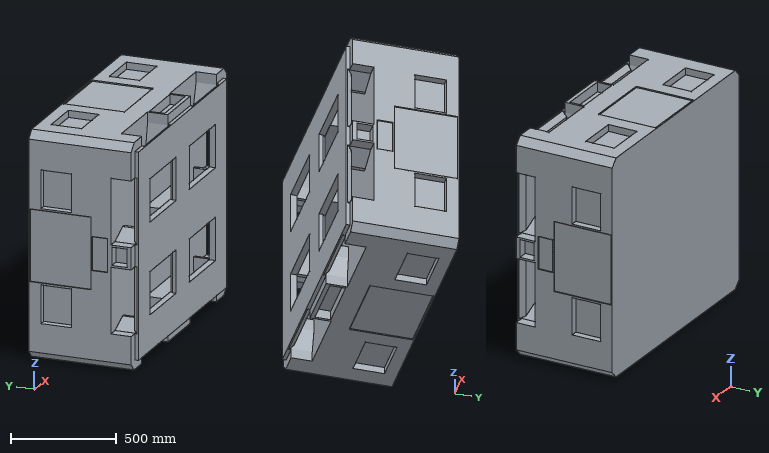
import cadquery as cq

width = 1219.2
height = 1143.0
depth = 543.03
half_width = width / 2
half_height = height / 2
corner_chamfer = 38.1

plate_inset = 47.625
plate_thickness = 32.3
plate_step = 19.05
plate_lead_in = 25.4
plate_half_width = half_width - plate_inset
plate_half_height = half_height - plate_inset

window_width = 330.2
window_height = 217.5
window_center_x = 250.0
window_center_z = 233.2
window_chamfer = 12.7

fork_ceiling = 122.9
top_leg_half = 142.9
top_opening_end = 474.6
side_leg_half = 55.9
side_opening_end = 391.0

top_straight = 54.0
top_flare_end = 155.0
side_straight = 53.0
side_flare_end = 151.0
top_leg_wide_half = 162.0
side_leg_wide_half = 99.6
corner_inner_x = 444.4
corner_inner_z = 349.5
top_leg_inner_z = 348.5
side_leg_inner_x = 439.6
center_leg_half_x = 167.6
center_leg_half_z = 104.4

hand_pocket_y = depth - 141.0
hand_pocket_size_y = 155.4
hand_pocket_depth = 36.0
top_hand_pocket_size = 218.5
top_hand_pocket_center = 369.1
side_hand_pocket_size = 194.2
side_hand_pocket_center = 289.0
label_y = depth - 163.0
label_size_y = 310.8
label_size = 364.2
shallow_depth = 6.35
tag_y = depth - 364.3
tag_size_y = 77.7
tag_size = 170.0
leg_pocket_y = 79.0
leg_pocket_size_y = 77.7
leg_pocket_depth = 50.8
top_leg_pocket_size = 262.0
side_leg_pocket_size = 92.3


def prism(points, y_start, y_end):
    """Extrude an X-Z outline from y_start to y_end."""
    return cq.Workplane("XZ", origin=(0, y_start, 0)).polyline(points).close().extrude(y_start - y_end)


def block(size_x, size_z, y_start, y_end, x=0.0, z=0.0):
    """Box centred on (x, z), reaching from y_start to y_end."""
    return cq.Workplane("XY").box(size_x, y_end - y_start, size_z).translate((x, (y_start + y_end) / 2, z))


def mirrored_x(shape):
    return shape.union(shape.mirror("YZ"))


def mirrored_z(shape):
    return shape.union(shape.mirror("XY"))


def make_plate():
    plate = block(2 * plate_half_width, 2 * plate_half_height, 0, plate_thickness)
    lead_in_y = plate_thickness - plate_lead_in
    top_wedge = (
        cq.Workplane("YZ", origin=(top_leg_half, 0, 0))
        .moveTo(plate_thickness, plate_half_height - plate_lead_in)
        .lineTo(plate_thickness, plate_half_height)
        .lineTo(lead_in_y, plate_half_height)
        .close()
        .extrude(top_opening_end - top_leg_half)
    )
    side_wedge = (
        cq.Workplane("XY", origin=(0, 0, side_leg_half))
        .moveTo(plate_half_width - plate_lead_in, plate_thickness)
        .lineTo(plate_half_width, plate_thickness)
        .lineTo(plate_half_width, lead_in_y)
        .close()
        .extrude(side_opening_end - side_leg_half)
    )
    for wedge in (top_wedge, side_wedge):
        plate = plate.cut(mirrored_z(mirrored_x(wedge)))
    return plate.cut(mirrored_z(mirrored_x(make_window())))


def make_window():
    """Window in the +X +Z quarter, its chamfer widening toward the plate centre."""
    inner_x = window_center_x - window_width / 2
    outer_x = inner_x + window_width
    return (
        cq.Workplane("XY", origin=(0, 0, window_center_z - window_height / 2))
        .moveTo(inner_x, 0)
        .lineTo(outer_x, 0)
        .lineTo(outer_x, plate_thickness)
        .lineTo(inner_x - window_chamfer, plate_thickness)
        .lineTo(inner_x, plate_thickness - window_chamfer)
        .close()
        .extrude(window_height)
    )


def make_legs():
    top_straight_z = half_height - top_straight
    top_flare_z = half_height - top_flare_end
    side_straight_x = half_width - side_straight
    side_flare_x = half_width - side_flare_end
    corner_leg = [
        (top_opening_end, half_height),
        (top_opening_end, top_straight_z),
        (corner_inner_x, top_flare_z),
        (corner_inner_x, corner_inner_z),
        (side_flare_x, corner_inner_z),
        (side_straight_x, side_opening_end),
        (half_width, side_opening_end),
        (half_width, half_height - corner_chamfer),
        (half_width - corner_chamfer, half_height),
    ]
    top_leg = [
        (-top_leg_half, half_height),
        (-top_leg_half, top_straight_z),
        (-top_leg_wide_half, top_flare_z),
        (-top_leg_wide_half, top_leg_inner_z),
        (top_leg_wide_half, top_leg_inner_z),
        (top_leg_wide_half, top_flare_z),
        (top_leg_half, top_straight_z),
        (top_leg_half, half_height),
    ]
    side_leg = [
        (half_width, -side_leg_half),
        (side_straight_x, -side_leg_half),
        (side_flare_x, -side_leg_wide_half),
        (side_leg_inner_x, -side_leg_wide_half),
        (side_leg_inner_x, side_leg_wide_half),
        (side_flare_x, side_leg_wide_half),
        (side_straight_x, side_leg_half),
        (half_width, side_leg_half),
    ]
    legs = block(2 * center_leg_half_x, 2 * center_leg_half_z, plate_step, fork_ceiling)
    legs = legs.union(mirrored_z(mirrored_x(prism(corner_leg, plate_step, fork_ceiling))))
    legs = legs.union(mirrored_z(prism(top_leg, plate_step, fork_ceiling)))
    return legs.union(mirrored_x(prism(side_leg, plate_step, fork_ceiling)))


def make_body():
    return block(width, height, fork_ceiling, depth).edges("|Y").chamfer(corner_chamfer)


def top_recess(size_x, size_y, recess_depth, y, x=0.0):
    """Cutters sunk into the +Z and -Z sides."""
    cutter = cq.Workplane("XY").box(size_x, size_y, 2 * recess_depth).translate((x, y, half_height))
    return mirrored_z(cutter)


def side_recess(size_z, size_y, recess_depth, y, z=0.0):
    """Cutters sunk into the +X and -X sides."""
    cutter = cq.Workplane("XY").box(2 * recess_depth, size_y, size_z).translate((half_width, y, z))
    return mirrored_x(cutter)


def cut_recesses(part):
    for side in (-1, 1):
        top_x = side * top_hand_pocket_center
        side_z = side * side_hand_pocket_center
        part = part.cut(
            top_recess(top_hand_pocket_size, hand_pocket_size_y, hand_pocket_depth, hand_pocket_y, top_x)
        )
        part = part.cut(
            side_recess(side_hand_pocket_size, hand_pocket_size_y, hand_pocket_depth, hand_pocket_y, side_z)
        )
    part = part.cut(top_recess(label_size, label_size_y, shallow_depth, label_y))
    part = part.cut(side_recess(label_size, label_size_y, shallow_depth, label_y))
    part = part.cut(side_recess(tag_size, tag_size_y, shallow_depth, tag_y))
    part = part.cut(top_recess(top_leg_pocket_size, leg_pocket_size_y, leg_pocket_depth, leg_pocket_y))
    return part.cut(side_recess(side_leg_pocket_size, leg_pocket_size_y, leg_pocket_depth, leg_pocket_y))


result = cut_recesses(make_body().union(make_legs())).union(make_plate())